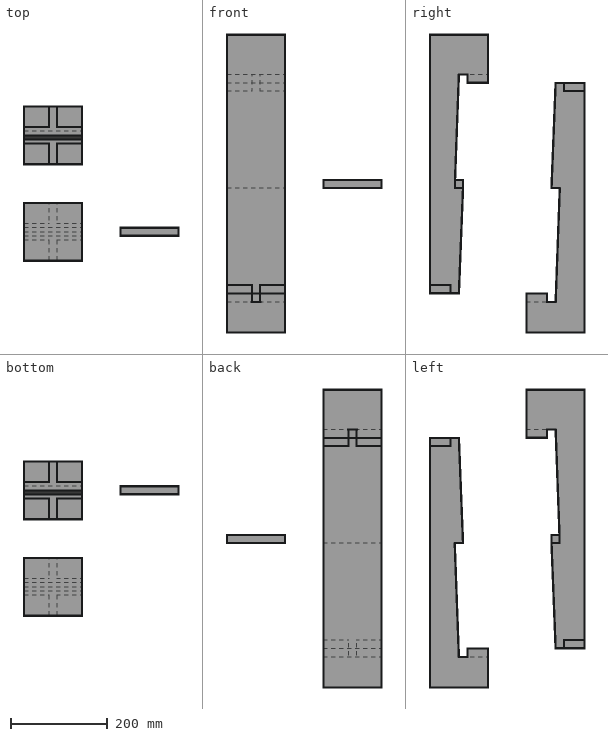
import cadquery as cq


overall_height = 617.0
overall_width = 320.0
spacing = 200.0
lower_hook_top = 81.0
upper_hook_bottom = 517.0

section = overall_width - spacing
middle = section / 2
key_size = section / 7
step_height = (lower_hook_top + upper_hook_bottom) / 2


def make_beam(length, hook_height, step):
    """Beam standing on its hook, back at high Y, with a stepped sloping scarf face."""
    groove_floor = hook_height - key_size
    groove_front = middle - key_size
    outline = [
        (0, 0),
        (section, 0),
        (section, length),
        (middle, length),
        (middle - key_size / 2, step),
        (middle + key_size / 2, step),
        (middle, groove_floor),
        (groove_front, groove_floor),
        (groove_front, hook_height),
        (0, hook_height),
    ]
    beam = cq.Workplane("YZ").polyline(outline).close().extrude(section)

    slot = cq.Workplane("XY").box(key_size, groove_front, key_size, centered=False)
    beam = beam.cut(slot.translate((middle - key_size / 2, 0, groove_floor)))

    shoulder_width = (section - key_size) / 2
    shoulder_length = middle - key_size
    shoulder = cq.Workplane("XY").box(shoulder_width, shoulder_length, key_size, centered=False)
    for x in (0, section - shoulder_width):
        beam = beam.cut(shoulder.translate((x, section - shoulder_length, length - key_size)))
    return beam


lower_beam = make_beam(upper_hook_bottom, lower_hook_top, step_height)
lower_beam = lower_beam.translate((0, spacing, 0))

upper_beam = make_beam(
    overall_height - lower_hook_top,
    overall_height - upper_hook_bottom,
    overall_height - step_height,
)
upper_beam = upper_beam.rotate((0, 0, 0), (1, 0, 0), 180).translate((0, section, overall_height))

key = cq.Workplane("XY").box(section, key_size, key_size, centered=False)
key = key.translate((spacing, middle - key_size / 2, step_height))

result = cq.Compound.makeCompound([lower_beam.val(), upper_beam.val(), key.val()])